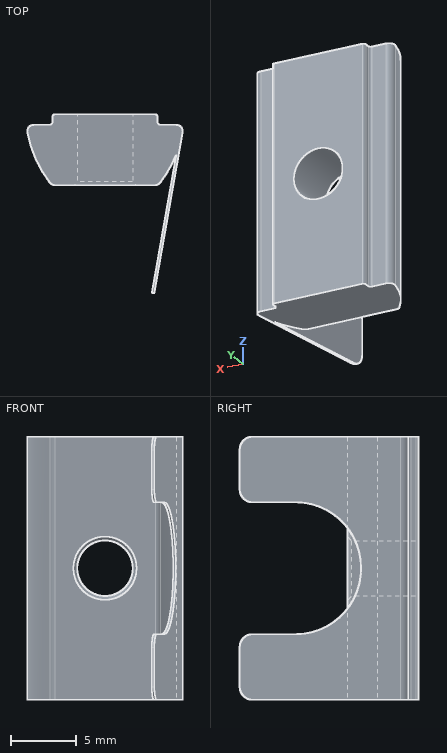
import cadquery as cq
import math

length = 20.0
half_width = 11.82 / 2
total_depth = 13.6

body_depth = 5.4
rail_half_width = 4.0
rail_height = 0.8
rail_edge_radius = 0.2
rail_root_radius = 0.2
shoulder_radius = 0.5
front_half_width = 4.05
front_edge_radius = 0.5
flank_bulge = 0.28

bore_diameter = 4.2
countersink = 0.3

leaf_tilt = 10.0
leaf_thickness = 0.2
leaf_corner_radius = 1.0
slot_radius = 5.0
slot_centre_depth = 9.3

tilt = math.radians(leaf_tilt)
shoulder_x = half_width - shoulder_radius
shoulder_y = -rail_height - shoulder_radius
root_x = shoulder_x + shoulder_radius * math.cos(tilt)
root_y = shoulder_y - shoulder_radius * math.sin(tilt)


def vertical_edges(body, points, radius):
    """Round the edges parallel to Z that pass through the given XY points."""
    for x, y in points:
        edge = cq.selectors.NearestToPointSelector((x, y, 0))
        body = body.edges("|Z").edges(edge).fillet(radius)
    return body


def make_body():
    mid_angle = (math.pi / 2 - tilt) / 2
    shoulder_mid = (
        shoulder_x + shoulder_radius * math.cos(mid_angle),
        shoulder_y + shoulder_radius * math.sin(mid_angle),
    )
    run_x = root_x - front_half_width
    run_y = root_y + body_depth
    chord = math.hypot(run_x, run_y)
    flank_mid = (
        (root_x + front_half_width) / 2 + flank_bulge * run_y / chord,
        (root_y - body_depth) / 2 - flank_bulge * run_x / chord,
    )
    half = (
        cq.Workplane("XY", origin=(0, 0, -length / 2))
        .lineTo(rail_half_width, 0)
        .lineTo(rail_half_width, -rail_height)
        .lineTo(shoulder_x, -rail_height)
        .threePointArc(shoulder_mid, (root_x, root_y))
        .threePointArc(flank_mid, (front_half_width, -body_depth))
        .lineTo(0, -body_depth)
        .close()
        .extrude(length)
    )
    half = vertical_edges(half, [(rail_half_width, 0)], rail_edge_radius)
    half = vertical_edges(half, [(rail_half_width, -rail_height)], rail_root_radius)
    half = vertical_edges(half, [(front_half_width, -body_depth)], front_edge_radius)
    return half.union(half.mirror("YZ")).clean()


def make_leaf():
    """Plate with a round-ended slot, built upright at the origin and then tilted."""
    leaf_length = (total_depth + root_y) / math.cos(tilt)
    slot_centre = (slot_centre_depth + root_y) / math.cos(tilt)
    plate = cq.Workplane("XY").box(leaf_thickness, leaf_length, length)
    plate = plate.translate((-leaf_thickness / 2, -leaf_length / 2, 0))
    slot_end = (
        cq.Workplane("YZ", origin=(-leaf_thickness, -slot_centre, 0))
        .circle(slot_radius)
        .extrude(leaf_thickness)
    )
    slot_length = leaf_length - slot_centre
    slot = cq.Workplane("XY").box(leaf_thickness, slot_length, 2 * slot_radius)
    slot = slot.translate((-leaf_thickness / 2, -slot_centre - slot_length / 2, 0))
    plate = plate.cut(slot).cut(slot_end)
    plate = plate.faces("<Y").edges("|X").fillet(leaf_corner_radius)
    return plate.rotate((0, 0, 0), (0, 0, 1), -leaf_tilt).translate((root_x, root_y, 0))


def make_bore():
    """Through bore along Y, countersunk at the front face."""
    bore_radius = bore_diameter / 2
    return (
        cq.Workplane("XY")
        .lineTo(bore_radius, 0)
        .lineTo(bore_radius, countersink - body_depth)
        .lineTo(bore_radius + countersink, -body_depth)
        .lineTo(0, -body_depth)
        .close()
        .revolve(360, (0, 0, 0), (0, 1, 0))
    )


result = make_body().union(make_leaf()).cut(make_bore())